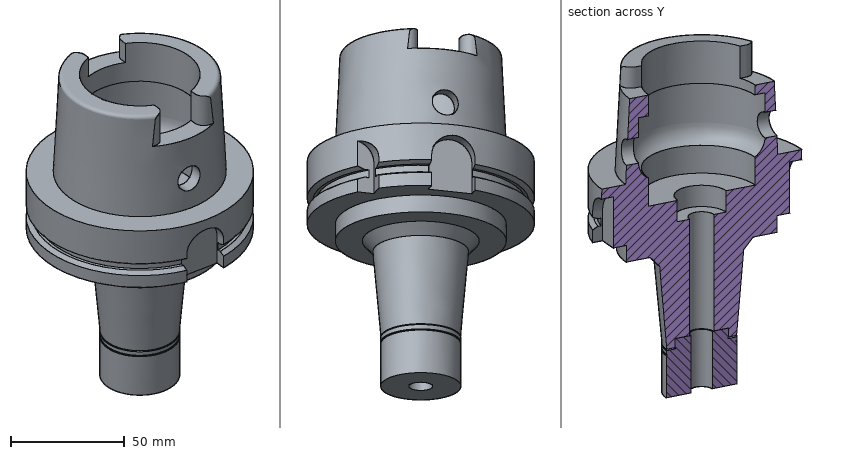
import cadquery as cq
import math

shank_height = 50.0
shank_base_diameter = 76.1
shank_taper = 0.1
rim_radius = 1.9

bore_diameter = 53.0
bore_depth = 20.0
undercut_diameter = 63.0
undercut_wall_depth = 40.6
undercut_arc_radius = 10.0
bore_floor_depth = 62.5
tube_recess_diameter = 24.2
tube_recess_depth = 10.0
coolant_hole_diameter = 12.0

drive_slot_width = 20.0
drive_slot_depth_left = 9.9
drive_slot_depth_right = 15.2
drive_slot_lip_radius = 5.0
drive_lug_length = 64.6

cross_hole_diameter = 12.0
cross_hole_height = 14.9

flange_diameter = 100.0
flange_thickness = 29.1
groove_top_depth = 17.0
groove_bottom_depth = 23.1
groove_height = 3.5
groove_lip_diameter = 95.0
groove_floor_diameter = 92.0

keyway_width = 20.0
keyway_end_depth = 5.0
keyway_floor_distance = 44.0
notch_floor_distance = 31.6
notch_center_y = 41.2

collar_diameter = 75.2
collar_bottom_depth = 37.0
cone_top_diameter = 51.5
nose_top_diameter = 42.2
nose_top_depth = 42.0
nose_tip_diameter = 35.0
nose_tip_depth = 82.0

sleeve_diameter = 35.3
sleeve_gap = 0.5
sleeve_band_height = 2.0
sleeve_groove_width = 0.5
sleeve_groove_diameter = 34.7
sleeve_neck_diameter = 26.4
sleeve_neck_height = 4.6
sleeve_bore_diameter = 10.5
total_length = 155

sleeve_bottom = shank_height - total_length
sleeve_top = -nose_tip_depth - sleeve_gap


def cylinder(diameter, bottom, top):
    return cq.Workplane("XY").workplane(offset=bottom).circle(diameter / 2).extrude(top - bottom)


def revolved(profile):
    """Turn (diameter, height) points about the Z axis, closing the outline along the axis."""
    points = [(0, profile[0][1])]
    points += [(diameter / 2, height) for diameter, height in profile]
    points.append((0, profile[-1][1]))
    return cq.Workplane("XZ").polyline(points).close().revolve(360, (0, 0, 0), (0, 1, 0))


def shank_diameter(height):
    return shank_base_diameter - shank_taper * height


def make_shank():
    shank = revolved([(shank_base_diameter, 0), (shank_diameter(shank_height), shank_height)])
    return shank.edges(">Z").fillet(rim_radius)


def make_flange_and_nose():
    groove_lip_height = (groove_bottom_depth - groove_top_depth - groove_height) / 2
    return revolved([
        (flange_diameter, 0),
        (flange_diameter, -groove_top_depth),
        (groove_lip_diameter, -groove_top_depth - groove_lip_height),
        (groove_floor_diameter, -groove_top_depth - groove_lip_height),
        (groove_floor_diameter, -groove_bottom_depth + groove_lip_height),
        (groove_lip_diameter, -groove_bottom_depth + groove_lip_height),
        (flange_diameter, -groove_bottom_depth),
        (flange_diameter, -flange_thickness),
        (collar_diameter, -flange_thickness),
        (collar_diameter, -collar_bottom_depth),
        (cone_top_diameter, -collar_bottom_depth),
        (nose_top_diameter, -nose_top_depth),
        (nose_tip_diameter, -nose_tip_depth),
    ])


def make_undercut():
    """Wide ring of the bore, its wall curving back in to the bore diameter at the lower end."""
    wall_radius = undercut_diameter / 2
    bore_radius = bore_diameter / 2
    top = shank_height - bore_depth
    arc_top = shank_height - undercut_wall_depth
    arc_center_radius = wall_radius - undercut_arc_radius
    arc_angle = math.acos((bore_radius - arc_center_radius) / undercut_arc_radius)
    arc_bottom = arc_top - undercut_arc_radius * math.sin(arc_angle)
    arc_mid_radius = arc_center_radius + undercut_arc_radius * math.cos(arc_angle / 2)
    arc_mid = arc_top - undercut_arc_radius * math.sin(arc_angle / 2)
    return (
        cq.Workplane("XZ")
        .moveTo(0, top)
        .lineTo(wall_radius, top)
        .lineTo(wall_radius, arc_top)
        .threePointArc((arc_mid_radius, arc_mid), (bore_radius, arc_bottom))
        .lineTo(0, arc_bottom)
        .close()
        .revolve(360, (0, 0, 0), (0, 1, 0))
    )


def make_clamping_bore():
    bore_floor = shank_height - bore_floor_depth
    bore = cylinder(bore_diameter, bore_floor, shank_height)
    tube_recess = cylinder(tube_recess_diameter, bore_floor - tube_recess_depth, bore_floor)
    return bore.union(make_undercut()).union(tube_recess)


def make_drive_slot(depth, side):
    """Slot open towards +X (side 1) or -X (side -1), with mouths rounded out to the rim."""
    half_width = drive_slot_width / 2
    lip_y = half_width + drive_slot_lip_radius
    lip_edge_x = drive_lug_length / 2
    lip_x = lip_edge_x - drive_slot_lip_radius
    outer_x = shank_base_diameter / 2
    half_arc = drive_slot_lip_radius * math.sqrt(0.5)
    arc_mid_x = lip_x + half_arc
    arc_mid_y = lip_y - half_arc
    return (
        cq.Workplane("XY")
        .workplane(offset=shank_height - depth)
        .moveTo(0, -half_width)
        .lineTo(side * lip_x, -half_width)
        .threePointArc((side * arc_mid_x, -arc_mid_y), (side * lip_edge_x, -lip_y))
        .lineTo(side * lip_edge_x, -outer_x)
        .lineTo(side * outer_x, -outer_x)
        .lineTo(side * outer_x, outer_x)
        .lineTo(side * lip_edge_x, outer_x)
        .lineTo(side * lip_edge_x, lip_y)
        .threePointArc((side * arc_mid_x, arc_mid_y), (side * lip_x, half_width))
        .lineTo(0, half_width)
        .close()
        .extrude(depth)
    )


def make_keyway(floor_distance, center_y, side):
    """Upright cut from the flange edge to a flat floor, with a half-round upper end."""
    radius = keyway_width / 2
    arc_height = -keyway_end_depth - radius
    left = center_y - radius
    right = center_y + radius
    profile = (
        cq.Workplane("YZ")
        .workplane(offset=side * floor_distance)
        .moveTo(left, -flange_thickness)
        .lineTo(left, arc_height)
        .threePointArc((center_y, -keyway_end_depth), (right, arc_height))
        .lineTo(right, -flange_thickness)
        .close()
    )
    return profile.extrude(side * (flange_diameter / 2 - floor_distance))


def make_cross_hole():
    hole = cq.Workplane("YZ").center(0, cross_hole_height).circle(cross_hole_diameter / 2)
    return hole.extrude(shank_base_diameter / 2, both=True)


def make_holder():
    holder = make_flange_and_nose().union(make_shank())
    holder = holder.cut(make_clamping_bore())
    holder = holder.cut(make_drive_slot(drive_slot_depth_left, -1))
    holder = holder.cut(make_drive_slot(drive_slot_depth_right, 1))
    holder = holder.cut(make_cross_hole())
    for side in (-1, 1):
        holder = holder.cut(make_keyway(keyway_floor_distance, 0, side))
    holder = holder.cut(make_keyway(notch_floor_distance, notch_center_y, -1))
    holder = holder.cut(cylinder(coolant_hole_diameter, -nose_tip_depth, shank_height))
    socket = cylinder(sleeve_neck_diameter, -nose_tip_depth, sleeve_top + sleeve_neck_height)
    return holder.cut(socket)


def make_sleeve():
    groove_top = sleeve_top - sleeve_band_height
    groove_bottom = groove_top - sleeve_groove_width
    neck = cylinder(sleeve_neck_diameter, sleeve_top, sleeve_top + sleeve_neck_height)
    sleeve = revolved([
        (sleeve_diameter, sleeve_bottom),
        (sleeve_diameter, groove_bottom),
        (sleeve_groove_diameter, groove_bottom),
        (sleeve_groove_diameter, groove_top),
        (sleeve_diameter, groove_top),
        (sleeve_diameter, sleeve_top),
    ]).union(neck)
    return sleeve.cut(cylinder(sleeve_bore_diameter, sleeve_bottom, sleeve_top + sleeve_neck_height))


holder = make_holder()
sleeve = make_sleeve()
result = cq.Compound.makeCompound([holder.val(), sleeve.val()])